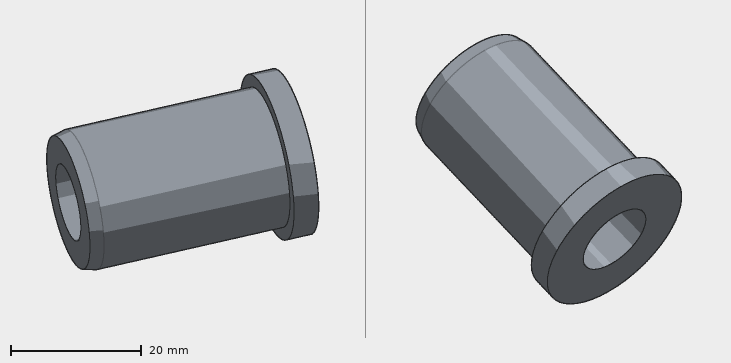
import cadquery as cq

total_length = 36.0
flange_diameter = 26.0
flange_thickness = 4.0
body_diameter = 22.0
bore_diameter = 12.1
lead_in_length = 2.1
lead_in_depth = 0.55

bore_radius = bore_diameter / 2
body_radius = body_diameter / 2
flange_radius = flange_diameter / 2
tip_radius = body_radius - lead_in_depth
flange_start = total_length - flange_thickness

half_section = (
    cq.Workplane("XY")
    .moveTo(bore_radius, 0)
    .lineTo(tip_radius, 0)
    .lineTo(body_radius, lead_in_length)
    .lineTo(body_radius, flange_start)
    .lineTo(flange_radius, flange_start)
    .lineTo(flange_radius, total_length)
    .lineTo(bore_radius, total_length)
    .close()
)

result = half_section.revolve(360, (0, 0, 0), (0, 1, 0))